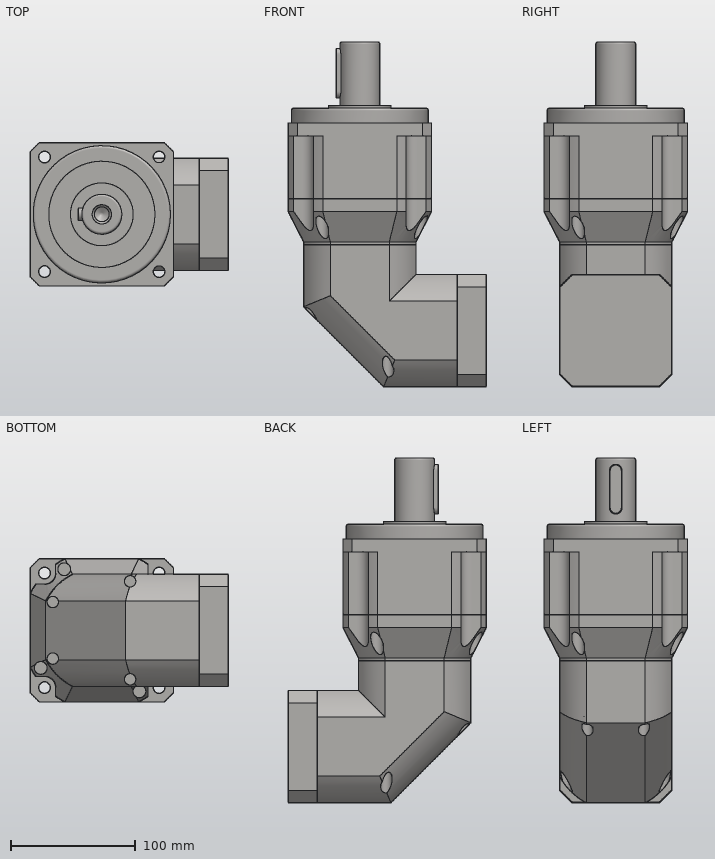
import cadquery as cq
import math


OVERALL_HEIGHT = 276.5
ELBOW_TOP = 114.2
LIP_HEIGHT = 2.0
TAPER_HEIGHT = 24.3
ADAPTER_STRAIGHT_HEIGHT = 10.5
HOUSING_HEIGHT = 50.0
FLANGE_THICKNESS = 10.5
PILOT_HEIGHT = 12.0
COLLAR_STEP = 2.2

JOINT_CHAMFER = 0.5

TAPER_BOTTOM = ELBOW_TOP + LIP_HEIGHT
TAPER_TOP = TAPER_BOTTOM + TAPER_HEIGHT
ADAPTER_TOP = TAPER_TOP + ADAPTER_STRAIGHT_HEIGHT
FLANGE_BOTTOM = ADAPTER_TOP + HOUSING_HEIGHT
FLANGE_TOP = FLANGE_BOTTOM + FLANGE_THICKNESS
PILOT_TOP = FLANGE_TOP + PILOT_HEIGHT
COLLAR_TOP = PILOT_TOP + COLLAR_STEP

CUT_OVERRUN = 2.8

HOUSING_WIDTH = 115.0
HOUSING_ROUND_RADIUS = 64.7
FLANGE_CORNER_CHAMFER = 7.5
PILOT_DIAMETER = 110.0
PILOT_EDGE_FILLET = 2.2
BOLT_OFFSET = 46.0
BOLT_HOLE_DIAMETER = 9.0
BOLT_GROOVE_RADIUS = 8.9

SHAFT_DIAMETER = 32.0
SHAFT_EDGE_FILLET = 2.0
COLLAR_DIAMETER = 50.3
COVER_DIAMETER = 85.2
CENTRE_HOLE_DIAMETER = 12.0
CENTRE_SINK_DIAMETER = 15.5
CENTRE_HOLE_DEPTH = 27.7
DRILL_POINT_ANGLE = 118
KEY_WIDTH = 10.0
KEY_HEIGHT = 8.0
KEY_LENGTH = 39.8
KEY_OUTER_X = 19.0
KEY_TOP_GAP = 5.3
KEY_EDGE_CHAMFER = 0.5

ADAPTER_HOLE_X = 30.1
ADAPTER_HOLE_Y = 49.0
ADAPTER_HOLE_DIAMETER = 10.2

ELBOW_WIDTH = 90.2
ELBOW_ROUND_RADIUS = 51.0
ELBOW_END_X = 77.7
INPUT_END_X = 101.5
INPUT_CORNER_CHAMFER = 10.0
BEVEL_INTERCEPT = 19.0
ELBOW_SCREW_RADIUS = 45.5
ELBOW_SCREW_ANGLES = (60, 150, 210, 300)
ELBOW_SCREW_WELL_DIAMETER = 9.0
ELBOW_SCREW_SEAT_Z = 69.2

INPUT_AXIS_Z = ELBOW_WIDTH / 2
BOLT_POINTS = [(sx * BOLT_OFFSET, sy * BOLT_OFFSET) for sx in (-1, 1) for sy in (-1, 1)]


def cylinder(diameter, bottom, top):
    """Round bar on the output axis."""
    return cq.Workplane("XY").workplane(offset=bottom).circle(diameter / 2).extrude(top - bottom)


def flat_half_width(width, round_radius):
    """Half the length of the flat that the corner circle leaves on each side of a square."""
    return math.sqrt(round_radius**2 - (width / 2) ** 2)


def rounded_square(plane, width, round_radius):
    """Square whose corners are replaced by arcs of a circle about its own centre."""
    half = width / 2
    flat = flat_half_width(width, round_radius)
    middle = round_radius / math.sqrt(2)
    return (
        plane.moveTo(-flat, -half)
        .lineTo(flat, -half)
        .threePointArc((middle, -middle), (half, -flat))
        .lineTo(half, flat)
        .threePointArc((middle, middle), (flat, half))
        .lineTo(-flat, half)
        .threePointArc((-middle, middle), (-half, flat))
        .lineTo(-half, -flat)
        .threePointArc((-middle, -middle), (-flat, -half))
        .close()
    )


def housing_prism(bottom, top):
    plane = cq.Workplane("XY").workplane(offset=bottom)
    return rounded_square(plane, HOUSING_WIDTH, HOUSING_ROUND_RADIUS).extrude(top - bottom)


def corner_notches():
    """Cutters for the four corner notches, each with a round groove on a flange bolt axis."""
    height = FLANGE_BOTTOM - ELBOW_TOP
    plane = cq.Workplane("XY").workplane(offset=ELBOW_TOP)
    inner = BOLT_OFFSET - BOLT_GROOVE_RADIUS
    outer = HOUSING_WIDTH / 2 + CUT_OVERRUN
    arc_middle = BOLT_OFFSET - BOLT_GROOVE_RADIUS / math.sqrt(2)
    notch = (
        plane.moveTo(inner, outer)
        .lineTo(inner, BOLT_OFFSET)
        .threePointArc((arc_middle, arc_middle), (BOLT_OFFSET, inner))
        .lineTo(outer, inner)
        .lineTo(outer, outer)
        .close()
        .extrude(height)
    )
    notches = notch
    for quarter in range(1, 4):
        notches = notches.union(notch.rotate((0, 0, 0), (0, 0, 1), 90 * quarter))
    return notches


def make_housing():
    flange = (
        cq.Workplane("XY")
        .workplane(offset=FLANGE_BOTTOM)
        .rect(HOUSING_WIDTH, HOUSING_WIDTH)
        .extrude(FLANGE_THICKNESS)
        .edges("|Z")
        .chamfer(FLANGE_CORNER_CHAMFER)
    )
    bolt_holes = (
        cq.Workplane("XY")
        .workplane(offset=FLANGE_BOTTOM)
        .pushPoints(BOLT_POINTS)
        .circle(BOLT_HOLE_DIAMETER / 2)
        .extrude(FLANGE_THICKNESS)
    )
    pilot = cylinder(PILOT_DIAMETER, FLANGE_TOP, PILOT_TOP).faces(">Z").edges().fillet(PILOT_EDGE_FILLET)
    recess = cylinder(COVER_DIAMETER, FLANGE_TOP, PILOT_TOP)
    barrel = housing_prism(ADAPTER_TOP, FLANGE_BOTTOM).cut(corner_notches())
    return barrel.union(flange).cut(bolt_holes).union(pilot).cut(recess)


def make_cover():
    return cylinder(COVER_DIAMETER, FLANGE_TOP, PILOT_TOP).cut(
        cylinder(COLLAR_DIAMETER, FLANGE_TOP, PILOT_TOP)
    )


def make_collar():
    return cylinder(COLLAR_DIAMETER, FLANGE_TOP, COLLAR_TOP).cut(
        cylinder(SHAFT_DIAMETER, FLANGE_TOP, COLLAR_TOP)
    )


def key_blank():
    middle_z = OVERALL_HEIGHT - KEY_TOP_GAP - KEY_LENGTH / 2
    return (
        cq.Workplane("YZ", origin=(-KEY_OUTER_X, 0, middle_z))
        .slot2D(KEY_LENGTH, KEY_WIDTH, 90)
        .extrude(KEY_HEIGHT)
    )


def make_key():
    return key_blank().faces("<X").edges().chamfer(KEY_EDGE_CHAMFER)


def centre_hole():
    """Tapped-hole core in the shaft end, with a 45 degree countersink and a conical drill point."""
    core_radius = CENTRE_HOLE_DIAMETER / 2
    sink_radius = CENTRE_SINK_DIAMETER / 2
    floor_z = OVERALL_HEIGHT - CENTRE_HOLE_DEPTH
    point_length = core_radius / math.tan(math.radians(DRILL_POINT_ANGLE / 2))
    return (
        cq.Workplane("XZ")
        .moveTo(0, OVERALL_HEIGHT)
        .lineTo(sink_radius, OVERALL_HEIGHT)
        .lineTo(core_radius, OVERALL_HEIGHT - (sink_radius - core_radius))
        .lineTo(core_radius, floor_z)
        .lineTo(0, floor_z - point_length)
        .close()
        .revolve(360, (0, 0, 0), (0, 1, 0))
    )


def make_shaft():
    shaft = cylinder(SHAFT_DIAMETER, FLANGE_TOP, OVERALL_HEIGHT).faces(">Z").edges().fillet(SHAFT_EDGE_FILLET)
    return shaft.cut(centre_hole()).cut(key_blank())


def elbow_section(height):
    """Outline of the elbow arms, on a level plane."""
    return rounded_square(cq.Workplane("XY").workplane(offset=height), ELBOW_WIDTH, ELBOW_ROUND_RADIUS)


def make_adapter():
    straight = housing_prism(TAPER_TOP, ADAPTER_TOP)
    taper_top_plane = elbow_section(TAPER_BOTTOM).workplane(offset=TAPER_HEIGHT)
    taper = rounded_square(taper_top_plane, HOUSING_WIDTH, HOUSING_ROUND_RADIUS).loft(ruled=True)
    lip = elbow_section(ELBOW_TOP).extrude(LIP_HEIGHT)
    adapter = straight.union(taper).union(lip).cut(corner_notches())
    adapter = adapter.faces(">Z").edges().chamfer(JOINT_CHAMFER)
    well = (
        cq.Workplane("XY")
        .workplane(offset=TAPER_BOTTOM)
        .center(-ADAPTER_HOLE_X, -ADAPTER_HOLE_Y)
        .circle(ADAPTER_HOLE_DIAMETER / 2)
        .extrude(TAPER_HEIGHT)
    )
    for quarter in range(4):
        adapter = adapter.cut(well.rotate((0, 0, 0), (0, 0, 1), 90 * quarter))
    return adapter


def bevel_prism():
    """Prism along (1, 0, -1): flat underneath with the rounded lower corners of the elbow section."""
    half = ELBOW_WIDTH / 2
    flat = flat_half_width(ELBOW_WIDTH, ELBOW_ROUND_RADIUS)
    middle = ELBOW_ROUND_RADIUS / math.sqrt(2)
    reach = OVERALL_HEIGHT
    plane = cq.Plane(origin=(BEVEL_INTERCEPT, 0, 0), xDir=(0, 1, 0), normal=(1, 0, -1))
    return (
        cq.Workplane(plane)
        .moveTo(-flat, 0)
        .lineTo(flat, 0)
        .threePointArc((middle, half - middle), (half, half - flat))
        .lineTo(half, reach)
        .lineTo(-half, reach)
        .lineTo(-half, half - flat)
        .threePointArc((-middle, half - middle), (-flat, 0))
        .close()
        .extrude(reach, both=True)
    )


def screw_wells():
    """Upright wells that open in the bevel, on a pitch circle about the output axis."""
    points = []
    for degrees in ELBOW_SCREW_ANGLES:
        angle = math.radians(degrees)
        points.append((ELBOW_SCREW_RADIUS * math.cos(angle), ELBOW_SCREW_RADIUS * math.sin(angle)))
    return (
        cq.Workplane("XY")
        .pushPoints(points)
        .circle(ELBOW_SCREW_WELL_DIAMETER / 2)
        .extrude(ELBOW_SCREW_SEAT_Z)
    )


def make_elbow():
    path = cq.Workplane("XZ").moveTo(0, ELBOW_TOP).lineTo(0, INPUT_AXIS_Z).lineTo(ELBOW_END_X, INPUT_AXIS_Z)
    arms = elbow_section(ELBOW_TOP).sweep(path, transition="right")
    arms = arms.faces(">Z").edges().chamfer(JOINT_CHAMFER)
    return arms.intersect(bevel_prism()).cut(screw_wells())


def make_input_flange():
    return (
        cq.Workplane("YZ", origin=(ELBOW_END_X, 0, INPUT_AXIS_Z))
        .rect(ELBOW_WIDTH, ELBOW_WIDTH)
        .extrude(INPUT_END_X - ELBOW_END_X)
        .edges("|X")
        .chamfer(INPUT_CORNER_CHAMFER)
        .faces("<X or >X")
        .edges()
        .chamfer(JOINT_CHAMFER)
    )


housing = make_housing()
cover = make_cover()
collar = make_collar()
shaft = make_shaft()
key = make_key()
adapter = make_adapter()
elbow = make_elbow()
input_flange = make_input_flange()

result = cq.Compound.makeCompound(
    [
        housing.val(),
        cover.val(),
        collar.val(),
        shaft.val(),
        key.val(),
        adapter.val(),
        elbow.val(),
        input_flange.val(),
    ]
)